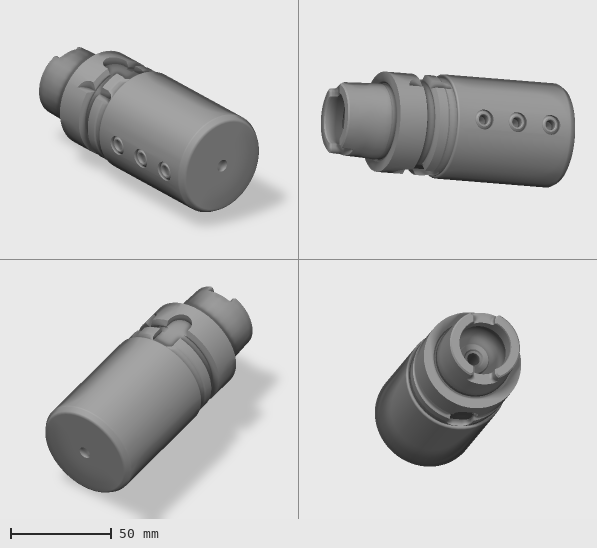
import cadquery as cq
import math


total_length = 120
taper_length = 25.0
body_end = total_length - taper_length

clearance = 1.2

taper_tip_radius = 18
taper_base_radius = 19.0
taper_base_x = -2.2
tip_chamfer = 0.7
relief_radius = 18.7
relief_x = -1.5
face_recess_outer_radius = 20.0
face_recess_inner_radius = 19.3
face_recess_depth = 0.7

flange_radius = 50.0 / 2
groove_floor_radius = 21.5
groove_x = 14.5
groove_end_x = 21.4
groove_flank_length = 1.5
groove_edge_drop = 2.6
flange_end_x = 26.0
neck_radius = 24.5
neck_x = 27.0

body_radius = 52.0 / 2
body_x = 30.8
body_start_fillet = 1.0
nose_length = 3.2
nose_angle = 30
nose_blend_radius = 1.5

bore_radius = 26.0 / 2
bore_mouth_radius = 26.6 / 2
bore_mouth_length = 0.8
bore_length = 10.0
chamber_radius = 32.0 / 2
chamber_shoulder_angle = 60
chamber_floor_depth = 24
chamber_floor_fillet = 4.0
boss_radius = 16.0 / 2
boss_height = 1.5
boss_chamfer = 0.5
boss_bore_radius = 10.0 / 2
boss_bore_floor_radius = 4.3
coolant_radius = 6.4 / 2

notch_half_width = 5.3
upper_notch_depth = 4.3
lower_notch_depth = 7.2
notch_floor_fillet = 1.5
notch_mouth_chamfer = 1.0
notch_flare_radius = 2.4
notch_flare_z = 13.9

pocket_width = 12
pocket_x = 7.0
pocket_end_x = 30.2
pocket_floor_z = 21.0
pocket_corner_radius = 3.5
corner_pocket_y = -15.5
corner_pocket_floor_z = 15.4

screw_positions = (45.0, 63.0, 81.0)
screw_hole_radius = 10.0 / 2
screw_face_radius = 7.0 / 2
screw_face_depth = 0.6
socket_mouth_radius = 5.8 / 2
socket_radius = 5.0 / 2
socket_depth = 4.8
socket_point_angle = 118


def holder_blank():
    """Turned outside of the holder."""
    nose_drop = nose_length * math.tan(math.radians(nose_angle))
    groove_edge_radius = flange_radius - groove_edge_drop
    outline = [
        (-taper_length, 0),
        (-taper_length, taper_tip_radius - tip_chamfer),
        (-taper_length + tip_chamfer, taper_tip_radius),
        (taper_base_x, taper_base_radius),
        (relief_x, relief_radius),
        (face_recess_depth, relief_radius),
        (face_recess_depth, face_recess_inner_radius),
        (0, face_recess_outer_radius),
        (0, flange_radius),
        (groove_x, flange_radius),
        (groove_x + groove_flank_length, groove_edge_radius),
        (groove_x + groove_flank_length, groove_floor_radius),
        (groove_end_x - groove_flank_length, groove_floor_radius),
        (groove_end_x - groove_flank_length, groove_edge_radius),
        (groove_end_x, flange_radius),
        (flange_end_x, flange_radius),
        (neck_x, neck_radius),
        (body_x, neck_radius),
        (body_x, body_radius),
        (body_end - nose_length, body_radius),
        (body_end, body_radius - nose_drop),
        (body_end, 0),
    ]
    blank = cq.Workplane("XY").polyline(outline).close().revolve(360, (0, 0, 0), (1, 0, 0))
    nose = cq.selectors.BoxSelector(
        (body_end - nose_length - clearance, -body_radius, -body_radius),
        (body_end + clearance, body_radius, body_radius),
    )
    blank = blank.edges(nose).edges("%CIRCLE").fillet(nose_blend_radius)
    body_shoulder = cq.selectors.NearestToPointSelector((body_x, 0, (neck_radius + body_radius) / 2))
    outer_edge = cq.selectors.RadiusNthSelector(-1)
    return blank.faces(body_shoulder).edges(outer_edge).fillet(body_start_fillet)


def bore_cutter():
    """Stepped inside of the holder, from the taper mouth to the through coolant hole."""
    floor_x = -taper_length + chamber_floor_depth
    boss_x = floor_x - boss_height
    bore_chamfer = boss_bore_radius - boss_bore_floor_radius
    bore_end_x = -taper_length + bore_length
    shoulder_length = (chamber_radius - bore_radius) / math.tan(math.radians(chamber_shoulder_angle))
    fillet_mid = chamber_floor_fillet * (1 - math.sqrt(0.5))
    return (
        cq.Workplane("XY")
        .moveTo(-taper_length, 0)
        .lineTo(-taper_length, bore_mouth_radius)
        .lineTo(-taper_length + bore_mouth_length, bore_radius)
        .lineTo(bore_end_x, bore_radius)
        .lineTo(bore_end_x + shoulder_length, chamber_radius)
        .lineTo(floor_x - chamber_floor_fillet, chamber_radius)
        .threePointArc(
            (floor_x - fillet_mid, chamber_radius - fillet_mid),
            (floor_x, chamber_radius - chamber_floor_fillet),
        )
        .lineTo(floor_x, boss_radius)
        .lineTo(boss_x + boss_chamfer, boss_radius)
        .lineTo(boss_x, boss_radius - boss_chamfer)
        .lineTo(boss_x, boss_bore_radius)
        .lineTo(boss_x + bore_chamfer, boss_bore_floor_radius)
        .lineTo(boss_x + bore_chamfer, coolant_radius)
        .lineTo(body_end, coolant_radius)
        .lineTo(body_end, 0)
        .close()
        .revolve(360, (0, 0, 0), (1, 0, 0))
    )


def notch_profile(growth):
    """Notch open to +Z with straight walls that flare out, widened on each side by growth."""
    half_width = notch_half_width + growth
    flare_radius = notch_flare_radius - growth
    flare_half_width = half_width + flare_radius
    top_z = notch_flare_z + flare_radius
    mid = flare_radius * math.sqrt(0.5)
    mid_half_width = flare_half_width - mid
    outer_z = taper_base_radius + clearance
    return (
        cq.Workplane("YZ", origin=(-taper_length, 0, 0))
        .moveTo(-half_width, 0)
        .lineTo(-half_width, notch_flare_z)
        .threePointArc((-mid_half_width, notch_flare_z + mid), (-flare_half_width, top_z))
        .lineTo(-flare_half_width, outer_z)
        .lineTo(flare_half_width, outer_z)
        .lineTo(flare_half_width, top_z)
        .threePointArc((mid_half_width, notch_flare_z + mid), (half_width, notch_flare_z))
        .lineTo(half_width, 0)
        .close()
    )


def drive_notch_cutter(depth):
    """Notch of the given depth, rounded along its floor and chamfered at its mouth."""
    notch = notch_profile(0).extrude(depth)
    notch = notch.faces(">X").edges("not(<Z or >Z)").fillet(notch_floor_fillet)
    mouth = notch_profile(notch_mouth_chamfer).extrude(notch_mouth_chamfer, taper=45)
    return notch.union(mouth)


def flange_pocket_cutter():
    """Flat pocket open to +Z with a round front end and rounded rear corners."""
    radius = pocket_width / 2
    rear_length = pocket_end_x - pocket_x - radius
    slot = (
        cq.Workplane("XY", origin=(0, 0, pocket_floor_z))
        .moveTo(pocket_end_x - rear_length / 2, 0)
        .rect(rear_length, pocket_width)
        .extrude(body_radius)
        .edges("|Z and >X")
        .fillet(pocket_corner_radius)
    )
    front = (
        cq.Workplane("XY", origin=(0, 0, pocket_floor_z))
        .center(pocket_x + radius, 0)
        .circle(radius)
        .extrude(body_radius)
    )
    return slot.union(front)


def corner_pocket_cutter():
    """The same pocket moved sideways, so that it notches the flange corner at -Y, +Z."""
    return flange_pocket_cutter().translate(
        (0, corner_pocket_y - pocket_width / 2, corner_pocket_floor_z - pocket_floor_z)
    )


def screw_gap_cutter(x):
    """Recess around a clamping screw and the socket in its chamfered face."""
    face_y = -body_radius + screw_face_depth
    cone_y = face_y + screw_hole_radius - screw_face_radius
    socket_y = face_y + socket_depth
    socket_chamfer = socket_mouth_radius - socket_radius
    point_length = socket_radius / math.tan(math.radians(socket_point_angle / 2))
    outline = [
        (0, -body_radius - clearance),
        (screw_hole_radius, -body_radius - clearance),
        (screw_hole_radius, cone_y),
        (screw_face_radius, face_y),
        (socket_mouth_radius, face_y),
        (socket_radius, face_y + socket_chamfer),
        (socket_radius, socket_y),
        (0, socket_y + point_length),
    ]
    cutter = cq.Workplane("XY").polyline(outline).close().revolve(360, (0, 0, 0), (0, 1, 0))
    return cutter.translate((x, 0, 0))


def turned_over(shape):
    """Half a turn about the holder axis."""
    return shape.rotate((0, 0, 0), (1, 0, 0), 180)


result = holder_blank().cut(bore_cutter())
result = result.cut(drive_notch_cutter(upper_notch_depth))
result = result.cut(turned_over(drive_notch_cutter(lower_notch_depth)))
result = result.cut(flange_pocket_cutter())
result = result.cut(turned_over(flange_pocket_cutter()))
result = result.cut(corner_pocket_cutter())
for screw_x in screw_positions:
    result = result.cut(screw_gap_cutter(screw_x))